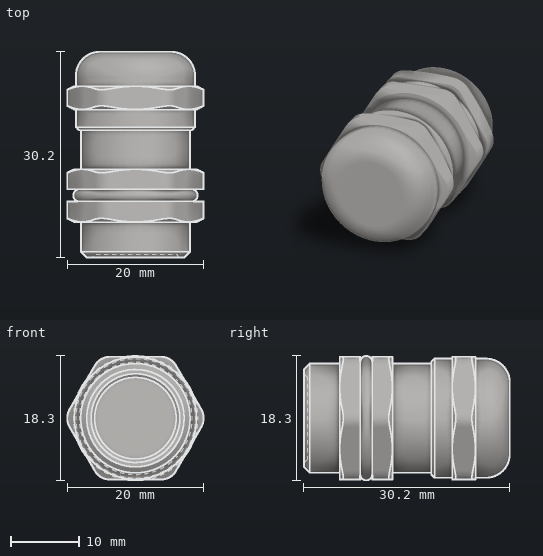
import cadquery as cq
import math

total_length = 30.15
thread_diameter = 16.0
thread_chamfer = 0.87

across_flats = 18.0
across_corners = 20.0
hex_face_diameter = 17.88
hex_chamfer_angle = 27.0

nut_start = 5.22
nut_width = 3.02
ring_width = 1.78
ring_diameter = 18.25
body_hex_start = nut_start + nut_width + ring_width
body_hex_width = 2.95

cap_diameter = 17.5
cap_start = 18.65
cap_chamfer = 0.48
dome_radius = 3.53
cap_hex_start = 21.7
cap_hex_width = 3.45

recess_diameter = 13.0
recess_floor_diameter = 11.95
recess_depth = (recess_diameter - recess_floor_diameter) / 2


def cylinder(diameter, start, length):
    """Cylinder along +Y beginning at y = start."""
    plane = cq.Workplane("XZ", origin=(0, start, 0))
    return plane.circle(diameter / 2).extrude(-length)


def hexagon(start, width, chamfer_low, chamfer_high):
    """Hexagon with rounded corners and conical chamfers on the chosen faces."""
    sharp_diameter = across_flats / math.cos(math.pi / 6)
    corner_radius = (sharp_diameter - across_corners) / 2 / (1 / math.cos(math.pi / 6) - 1)
    prism = (
        cq.Workplane("XZ", origin=(0, start, 0))
        .polygon(6, sharp_diameter)
        .extrude(-width)
        .edges("|Y")
        .fillet(corner_radius)
    )
    radial = (sharp_diameter - hex_face_diameter) / 2
    axial = radial * math.tan(math.radians(hex_chamfer_angle))
    end = start + width
    face_radius = hex_face_diameter / 2
    outer_radius = sharp_diameter / 2
    envelope = cq.Workplane("XY").moveTo(0, start)
    if chamfer_low:
        envelope = envelope.lineTo(face_radius, start).lineTo(outer_radius, start + axial)
    else:
        envelope = envelope.lineTo(outer_radius, start)
    if chamfer_high:
        envelope = envelope.lineTo(outer_radius, end - axial).lineTo(face_radius, end)
    else:
        envelope = envelope.lineTo(outer_radius, end)
    envelope = envelope.lineTo(0, end).close().revolve(360, (0, 0, 0), (0, 1, 0))
    return prism.intersect(envelope)


def sealing_ring():
    """Solid disc with a half-round rim, filling the gap between nut and body."""
    start = nut_start + nut_width
    end = start + ring_width
    rim_radius = (ring_diameter - ring_width) / 2
    return (
        cq.Workplane("XY")
        .moveTo(0, start)
        .lineTo(rim_radius, start)
        .threePointArc((ring_diameter / 2, (start + end) / 2), (rim_radius, end))
        .lineTo(0, end)
        .close()
        .revolve(360, (0, 0, 0), (0, 1, 0))
    )


def cap():
    """Round cap with a domed far end and a chamfered near end."""
    body = cylinder(cap_diameter, cap_start, total_length - cap_start)
    body = body.faces(">Y").edges().fillet(dome_radius)
    return body.faces("<Y").edges().chamfer(cap_chamfer)


def recess():
    """Cone frustum narrowing from the open end to a flat floor."""
    return (
        cq.Workplane("XY")
        .lineTo(recess_diameter / 2, 0)
        .lineTo(recess_floor_diameter / 2, recess_depth)
        .lineTo(0, recess_depth)
        .close()
        .revolve(360, (0, 0, 0), (0, 1, 0))
    )


thread = cylinder(thread_diameter, 0, cap_start).faces("<Y").edges().chamfer(thread_chamfer)

result = (
    thread.union(hexagon(nut_start, nut_width, True, False))
    .union(sealing_ring())
    .union(hexagon(body_hex_start, body_hex_width, False, True))
    .union(cap())
    .union(hexagon(cap_hex_start, cap_hex_width, True, True))
    .cut(recess())
)